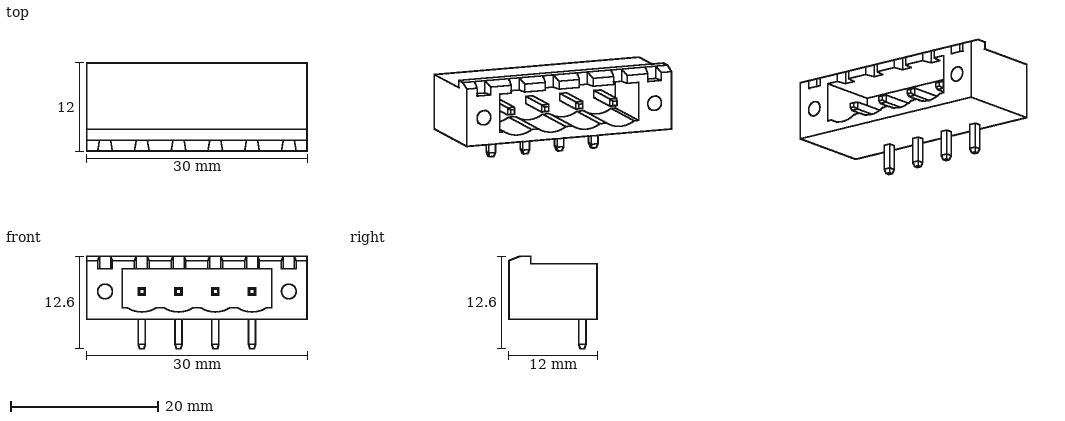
import cadquery as cq


pitch = 5.0
pin_count = 4
length = (pin_count + 2) * pitch
pin_xs = [(i - (pin_count - 1) / 2) * pitch for i in range(pin_count)]
flange_x = (pin_count + 1) * pitch / 2
slot_xs = [(i - (pin_count + 1) / 2) * pitch for i in range(pin_count + 2)]

depth = 12.0
roof_z = 7.6
lip_z = 8.6
lip_depth = 3.0
bevel_depth = 1.5
bevel_drop = 0.6

pocket_width = 20.3
pocket_depth = 8.5
pocket_floor_z = 1.6
pocket_ceiling_z = 6.9
scallop_width = 4.0
scallop_bottom_z = 1.0

slot_front_width = 2.0
slot_back_width = 1.5
slot_depth = bevel_depth

axis_z = 3.8
insert_diameter = 4.0
insert_bore = 2.0
insert_depth = 8.0

pin_size = 1.0
pin_tip_size = 0.6
pin_tip_length = 0.6
pin_tail = 4.0
pin_leg_y = depth - 2.0
pin_front_y = 2.0


def make_housing():
    profile = [
        (0, 0),
        (depth, 0),
        (depth, roof_z),
        (lip_depth, roof_z),
        (lip_depth, lip_z),
        (bevel_depth, lip_z),
        (0, lip_z - bevel_drop),
    ]
    return cq.Workplane("YZ").polyline(profile).close().extrude(length / 2, both=True)


def make_pocket():
    """Rectangular cavity whose floor dips in an arc below every pin."""
    half_width = pocket_width / 2
    outline = cq.Workplane("XZ").moveTo(-half_width, pocket_floor_z)
    for x in pin_xs:
        outline = outline.lineTo(x - scallop_width / 2, pocket_floor_z).threePointArc(
            (x, scallop_bottom_z), (x + scallop_width / 2, pocket_floor_z)
        )
    outline = outline.lineTo(half_width, pocket_floor_z)
    outline = outline.lineTo(half_width, pocket_ceiling_z)
    outline = outline.lineTo(-half_width, pocket_ceiling_z)
    return outline.close().extrude(-pocket_depth)


def make_slot(x):
    """Keying slot open to the top and front, narrowing towards the back."""
    corners = [
        (x - slot_front_width / 2, 0),
        (x + slot_front_width / 2, 0),
        (x + slot_back_width / 2, slot_depth),
        (x - slot_back_width / 2, slot_depth),
    ]
    plane = cq.Workplane("XY", origin=(0, 0, pocket_ceiling_z))
    return plane.polyline(corners).close().extrude(lip_z - pocket_ceiling_z)


def make_cylinder(x, diameter):
    """Cylinder running back from the mating face on a flange axis."""
    return cq.Workplane("XZ").center(x, axis_z).circle(diameter / 2).extrude(-insert_depth)


def make_bar(plane, bar_length):
    """Square bar along the plane normal, tapered to a blunt tip at its far end."""
    shank_length = bar_length - pin_tip_length
    shank = cq.Workplane(plane).rect(pin_size, pin_size).extrude(shank_length)
    tip = (
        shank.faces(cq.selectors.DirectionMinMaxSelector(plane.zDir, True))
        .workplane()
        .rect(pin_size, pin_size)
        .workplane(offset=pin_tip_length)
        .rect(pin_tip_size, pin_tip_size)
        .loft(combine=False)
    )
    return shank.union(tip)


def make_pin(x):
    """L-shaped pin: a contact into the pocket and a solder leg through the board face."""
    contact_plane = cq.Plane((x, pin_leg_y + pin_size / 2, axis_z), (1, 0, 0), (0, -1, 0))
    contact = make_bar(contact_plane, pin_leg_y + pin_size / 2 - pin_front_y)
    leg_plane = cq.Plane((x, pin_leg_y, axis_z), (1, 0, 0), (0, 0, -1))
    leg = make_bar(leg_plane, axis_z + pin_tail)
    return contact.union(leg)


result = make_housing().cut(make_pocket())
for slot_x in slot_xs:
    result = result.cut(make_slot(slot_x))
for pin_x in pin_xs:
    result = result.union(make_pin(pin_x))

flange_xs = (-flange_x, flange_x)
for insert_x in flange_xs:
    result = result.cut(make_cylinder(insert_x, insert_diameter))
for insert_x in flange_xs:
    insert = make_cylinder(insert_x, insert_diameter).cut(make_cylinder(insert_x, insert_bore))
    result = result.union(insert, clean=False)